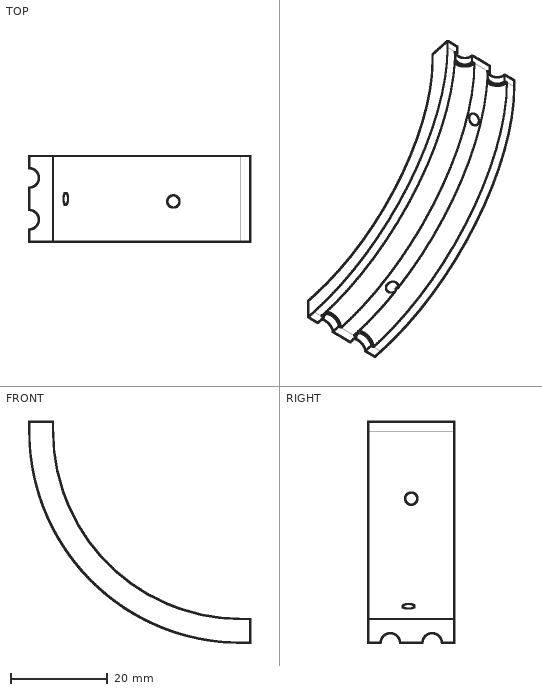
import cadquery as cq
import math

outer_radius = 44.0
wall_thickness = 5.0
lead_length = 2.0
inner_radius = outer_radius - wall_thickness
overall_length = outer_radius + lead_length
width = 17.9

edge_margin = 2.0
channel_diameter = 5.2
channel_offset = width / 2 - edge_margin - channel_diameter / 2
lead_channel_diameter = 4.0

hole_diameter = 2.5
hole_drop = 14.0
upright_hole_y = 0.0
floor_hole_y = -0.55

arc_centre = outer_radius
hole_position = arc_centre - hole_drop


def make_wall():
    """Band made of two leads joined by a quarter ring, extruded across Y."""
    cos_45 = math.cos(math.radians(45))
    outer_mid = arc_centre - outer_radius * cos_45
    inner_mid = arc_centre - inner_radius * cos_45
    return (
        cq.Workplane("XZ")
        .moveTo(0, overall_length)
        .lineTo(0, arc_centre)
        .threePointArc((outer_mid, outer_mid), (arc_centre, 0))
        .lineTo(overall_length, 0)
        .lineTo(overall_length, wall_thickness)
        .lineTo(arc_centre, wall_thickness)
        .threePointArc((inner_mid, inner_mid), (wall_thickness, arc_centre))
        .lineTo(wall_thickness, overall_length)
        .close()
        .extrude(width / 2, both=True)
    )


def make_channel(y):
    """Round channel centred on the outer face: a quarter torus and two lead cylinders."""
    curved = (
        cq.Workplane("XY", origin=(0, y, arc_centre))
        .circle(channel_diameter / 2)
        .revolve(90, (arc_centre, 0, 0), (arc_centre, -1, 0))
    )
    lead_radius = lead_channel_diameter / 2
    upper_lead = cq.Workplane("XY", origin=(0, y, arc_centre)).circle(lead_radius).extrude(lead_length)
    lower_lead = cq.Workplane("YZ", origin=(arc_centre, y, 0)).circle(lead_radius).extrude(lead_length)
    return curved, upper_lead, lower_lead


def make_upright_hole():
    """Hole along X through the upright part of the wall."""
    start = (0, upright_hole_y, hole_position)
    return cq.Workplane("YZ", origin=start).circle(hole_diameter / 2).extrude(arc_centre)


def make_floor_hole():
    """Hole along Z through the floor part of the wall."""
    start = (hole_position, floor_hole_y, 0)
    return cq.Workplane("XY", origin=start).circle(hole_diameter / 2).extrude(arc_centre)


result = make_wall()
for channel_y in (-channel_offset, channel_offset):
    for channel_piece in make_channel(channel_y):
        result = result.cut(channel_piece)
result = result.cut(make_upright_hole()).cut(make_floor_hole())